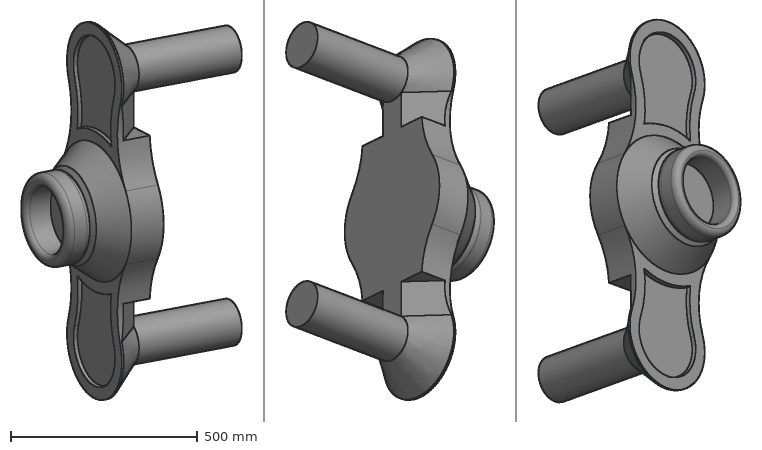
import cadquery as cq
import math

half_height = 529.0
hub_width = 386.0
hub_radius = hub_width / 2
lobe_radius = 143.0
neck_radius = 273.0
plate_depth = 102.0
rim_thickness = 6.0
hub_block_height = 231.0
lobe_z = half_height - lobe_radius

post_radius = 65.0
post_length = 323.0

flare_base_z = 333.0

recess_margin = 35.0
recess_depth = 11.0
recess_draft = 15.0
recess_inner_radius = 227.0

knob_length = 161.0
cone_length = 76.0
cone_end_radius = 137.0
groove_radius = 121.0
groove_y = 87.0
lip_radius = 129.0
lip_back_y = 102.0
lip_round = 20.0
bore_radius = 94.0
bore_round = lip_radius - lip_round - bore_radius
bore_depth = 80.0

hub_reach = hub_radius + neck_radius
lobe_reach = lobe_radius + neck_radius
neck_z = (hub_reach**2 - lobe_reach**2 + lobe_z**2) / (2 * lobe_z)
neck_x = math.sqrt(hub_reach**2 - neck_z**2)
neck_angle_to_lobe = math.atan2(lobe_z - neck_z, neck_x)


def xz_plane(y):
    """Sketch plane facing -Y, with local x = X and local y = Z."""
    return cq.Workplane("XZ", origin=(0, y, 0))


def mirrored_pair(upper):
    """The upper arm's solid together with its mirror image below the hub."""
    return [upper, upper.mirror("XY")]


def arm_outline(y, inset=0.0):
    """Upper arm outline, moved inward by inset, closed straight across at the hub."""
    lobe = lobe_radius - inset
    hub = hub_radius - inset
    hub_x = hub * neck_x / hub_reach
    hub_z = hub * neck_z / hub_reach
    lobe_x = lobe * math.cos(neck_angle_to_lobe)
    tangent_z = lobe_z - lobe * math.sin(neck_angle_to_lobe)
    waist_x = neck_x - neck_radius - inset
    return (
        xz_plane(y)
        .moveTo(hub_x, hub_z)
        .threePointArc((waist_x, neck_z), (lobe_x, tangent_z))
        .threePointArc((0, lobe_z + lobe), (-lobe_x, tangent_z))
        .threePointArc((-waist_x, neck_z), (-hub_x, hub_z))
        .close()
    )


def outline_prism(front_y, back_y):
    """Hub and both arms at full outline between two depths."""
    depth = back_y - front_y
    prism = xz_plane(back_y).circle(hub_radius).extrude(depth)
    for arm in mirrored_pair(arm_outline(back_y).extrude(depth)):
        prism = prism.union(arm)
    core_width = 2 * hub_radius * neck_x / hub_reach
    core_height = 2 * hub_radius * neck_z / hub_reach
    core = xz_plane(back_y).rect(core_width, core_height).extrude(depth)
    return prism.union(core)


def chord_half_width(radius):
    return math.sqrt(radius**2 - (lobe_z - flare_base_z) ** 2)


def lobe_flare():
    """Flare from the lobe rim back to the post, cut flat where the neck begins."""

    def section(y, radius):
        half_width = chord_half_width(radius)
        wire = (
            xz_plane(y)
            .moveTo(half_width, flare_base_z)
            .threePointArc((0, lobe_z + radius), (-half_width, flare_base_z))
            .close()
        )
        return wire.val()

    front = section(rim_thickness, lobe_radius)
    back = section(plate_depth, post_radius)
    return cq.Workplane(cq.Solid.makeLoft([front, back], True))


def neck_web():
    """Tapered web that carries the flare down to the hub block."""
    front_x = chord_half_width(lobe_radius)
    back_x = chord_half_width(post_radius)
    return (
        cq.Workplane("XY", origin=(0, 0, hub_block_height))
        .polyline([
            (-front_x, rim_thickness),
            (front_x, rim_thickness),
            (back_x, plate_depth),
            (-back_x, plate_depth),
        ])
        .close()
        .extrude(flare_base_z - hub_block_height)
    )


def arm_recess():
    """Shallow drafted recess ending in an arc around the hub."""
    pocket = arm_outline(0, recess_margin).extrude(-recess_depth, taper=recess_draft)
    hub_clearance = (
        xz_plane(0).circle(recess_inner_radius)
        .extrude(-recess_depth, taper=-recess_draft)
    )
    return pocket.cut(hub_clearance)


def knob():
    """Cone, groove and rounded lip with a blind bore, turned about Y."""
    diagonal = math.sqrt(0.5)
    back_round = lip_back_y - groove_y
    straight_end = knob_length - lip_round
    flat_radius = lip_radius - lip_round
    round_x = flat_radius + lip_round * diagonal
    round_y = straight_end + lip_round * diagonal
    bore_start = knob_length - bore_round
    bore_round_x = bore_radius + bore_round * (1 - diagonal)
    bore_round_y = bore_start + bore_round * diagonal
    floor_y = knob_length - bore_depth
    back_round_x = groove_radius + (lip_radius - groove_radius) * diagonal
    back_round_y = lip_back_y - back_round * diagonal
    return (
        cq.Workplane("XY")
        .lineTo(hub_radius, 0)
        .lineTo(cone_end_radius, -cone_length)
        .lineTo(groove_radius, -groove_y)
        .threePointArc((back_round_x, -back_round_y), (lip_radius, -lip_back_y))
        .lineTo(lip_radius, -straight_end)
        .threePointArc((round_x, -round_y), (flat_radius, -knob_length))
        .threePointArc((bore_round_x, -bore_round_y), (bore_radius, -bore_start))
        .lineTo(bore_radius, -floor_y)
        .lineTo(0, -floor_y)
        .close()
        .revolve(360, (0, 0, 0), (0, 1, 0))
    )


def make_handle():
    outline = outline_prism(0, plate_depth)
    hub_slab = cq.Workplane("XY").box(4 * hub_radius, 4 * plate_depth, 2 * hub_block_height)
    handle = outline_prism(0, rim_thickness).union(outline.intersect(hub_slab))
    for web in mirrored_pair(neck_web().intersect(outline)):
        handle = handle.union(web)
    for flare in mirrored_pair(lobe_flare()):
        handle = handle.union(flare)
    for recess in mirrored_pair(arm_recess()):
        handle = handle.cut(recess)
    return handle.union(knob())


def make_post(z):
    return (
        xz_plane(plate_depth)
        .center(0, z)
        .circle(post_radius)
        .extrude(-post_length)
    )


handle = make_handle()
posts = []
for side in (1, -1):
    posts.append(make_post(side * lobe_z).val())

result = cq.Compound.makeCompound([*handle.vals(), *posts])